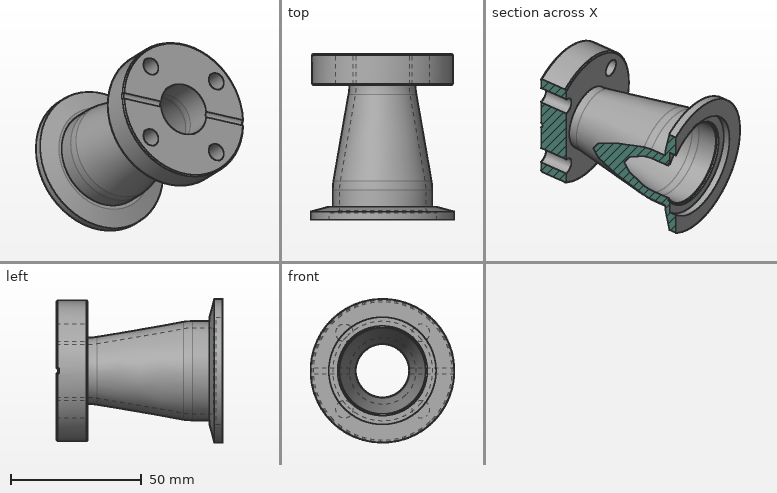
import cadquery as cq
import math

LENGTH = 63.5

CLAMP_RADIUS = 27.5
CLAMP_RIM = 3.2
CLAMP_BACK = 5.1
CLAMP_CONE_ANGLE = 15.0
RING_SEAT_RADIUS = 20.5
RING_SEAT_DEPTH = 2.7
LEAD_RADIUS = 17.15
LEAD_DEPTH = 0.9

WALL = 2.54
LARGE_RADIUS = 38.1 / 2
SMALL_RADIUS = 25.4 / 2
LARGE_BEND_START = 11.6
CONE_BEND_RADIUS = 20.0

BOLT_FLANGE_RADIUS = 27.0
BOLT_FLANGE_THICKNESS = 12.0
EDGE_CHAMFER = 0.55
BOLT_HOLE_DIAMETER = 6.7
BOLT_CIRCLE_RADIUS = 41.3 / 2
BOLT_COUNT = 4
GROOVE_DEPTH = 0.65
GROOVE_RADIUS = 1.3

BOLT_FLANGE_START = LENGTH - BOLT_FLANGE_THICKNESS


def cone_angle():
    """Angle of the cone tangent to both bends, which together span the two tube radii."""
    run = BOLT_FLANGE_START - LARGE_BEND_START
    drop = LARGE_RADIUS - SMALL_RADIUS
    centre_drop = 2 * CONE_BEND_RADIUS - drop
    centre_distance = math.hypot(run, centre_drop)
    return math.asin(2 * CONE_BEND_RADIUS / centre_distance) - math.atan2(centre_drop, run)


def reducer_points(offset):
    """Points of the two bends, for the wall surface lying `offset` inside the outer one."""
    angle = cone_angle()

    def on_large_bend(turn):
        bend = CONE_BEND_RADIUS - offset
        centre = LARGE_RADIUS - CONE_BEND_RADIUS
        return (centre + bend * math.cos(turn), LARGE_BEND_START + bend * math.sin(turn))

    def on_small_bend(turn):
        bend = CONE_BEND_RADIUS + offset
        centre = SMALL_RADIUS + CONE_BEND_RADIUS
        return (centre - bend * math.cos(turn), BOLT_FLANGE_START - bend * math.sin(turn))

    large = [on_large_bend(turn) for turn in (0, angle / 2, angle)]
    small = [on_small_bend(turn) for turn in (angle, angle / 2, 0)]
    return large, small


def revolve_about_y(profile):
    """Close a half profile and turn it into a solid around the tube axis."""
    return profile.close().revolve(360, (0, 0, 0), (0, 1, 0))


def tube_body():
    large, small = reducer_points(0)
    tube_end = LENGTH - BOLT_FLANGE_THICKNESS / 2
    return revolve_about_y(
        cq.Workplane("XY")
        .moveTo(0, 0)
        .lineTo(LARGE_RADIUS, 0)
        .lineTo(*large[0])
        .threePointArc(large[1], large[2])
        .lineTo(*small[0])
        .threePointArc(small[1], small[2])
        .lineTo(SMALL_RADIUS, tube_end)
        .lineTo(0, tube_end)
    )


def clamp_flange():
    cone_run = (CLAMP_BACK - CLAMP_RIM) / math.tan(math.radians(CLAMP_CONE_ANGLE))
    return revolve_about_y(
        cq.Workplane("XY")
        .moveTo(0, 0)
        .lineTo(CLAMP_RADIUS, 0)
        .lineTo(CLAMP_RADIUS, CLAMP_RIM)
        .lineTo(CLAMP_RADIUS - cone_run, CLAMP_BACK)
        .lineTo(0, CLAMP_BACK)
    )


def bore():
    large, small = reducer_points(WALL)
    large_bore = LARGE_RADIUS - WALL
    small_bore = SMALL_RADIUS - WALL
    lead_end = RING_SEAT_DEPTH + LEAD_DEPTH
    return revolve_about_y(
        cq.Workplane("XY")
        .moveTo(0, 0)
        .lineTo(RING_SEAT_RADIUS, 0)
        .lineTo(RING_SEAT_RADIUS, RING_SEAT_DEPTH)
        .lineTo(LEAD_RADIUS, RING_SEAT_DEPTH)
        .lineTo(LEAD_RADIUS, lead_end)
        .lineTo(large_bore, lead_end)
        .lineTo(*large[0])
        .threePointArc(large[1], large[2])
        .lineTo(*small[0])
        .threePointArc(small[1], small[2])
        .lineTo(small_bore, LENGTH)
        .lineTo(0, LENGTH)
    )


def leak_groove():
    """Round groove along X through the sealing face, flared where it leaves the rim."""
    axis_y = LENGTH + GROOVE_RADIUS - GROOVE_DEPTH
    flare_start = BOLT_FLANGE_RADIUS - EDGE_CHAMFER
    flare_radius = GROOVE_RADIUS + EDGE_CHAMFER
    return (
        cq.Workplane("XY")
        .moveTo(-BOLT_FLANGE_RADIUS, axis_y)
        .lineTo(-BOLT_FLANGE_RADIUS, axis_y - flare_radius)
        .lineTo(-flare_start, axis_y - GROOVE_RADIUS)
        .lineTo(flare_start, axis_y - GROOVE_RADIUS)
        .lineTo(BOLT_FLANGE_RADIUS, axis_y - flare_radius)
        .lineTo(BOLT_FLANGE_RADIUS, axis_y)
        .close()
        .revolve(360, (0, axis_y, 0), (1, axis_y, 0))
    )


def bolt_holes():
    return (
        cq.Workplane("XZ", origin=(0, LENGTH, 0))
        .polarArray(BOLT_CIRCLE_RADIUS, 180 / BOLT_COUNT, 360, BOLT_COUNT)
        .circle(BOLT_HOLE_DIAMETER / 2)
        .extrude(BOLT_FLANGE_THICKNESS)
    )


def bolt_flange():
    disc = (
        cq.Workplane("XZ", origin=(0, LENGTH, 0))
        .circle(BOLT_FLANGE_RADIUS)
        .extrude(BOLT_FLANGE_THICKNESS)
    )
    return disc.faces("<Y or >Y").edges().chamfer(EDGE_CHAMFER).cut(leak_groove()).cut(bolt_holes())


result = tube_body().union(clamp_flange()).union(bolt_flange()).cut(bore())